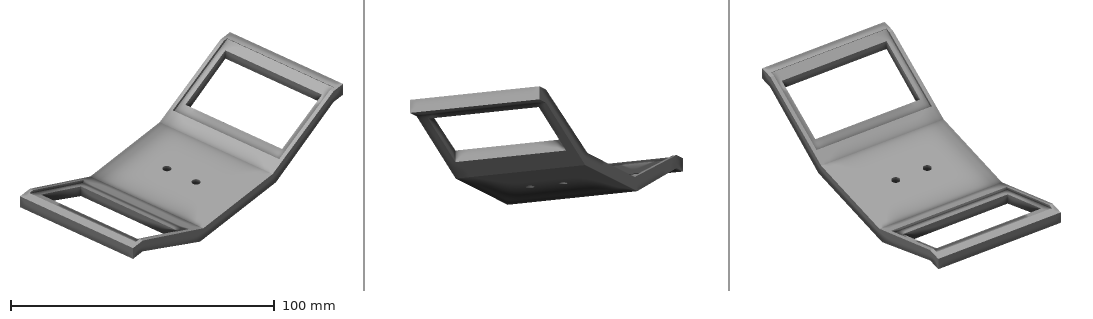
import cadquery as cq
import math

width = 54.0
length = 131.1
height = 21.8
thickness = 5.1
base_top_half = 21.6
base_bottom_half = 23.7
bend_y = 59.5

window_width = 46.1
window_inner_y = 32.6
window_outer_y = 57.5

seat_width = 50.9
seat_inner_y = 27.8
seat_outer_y = 61.4
seat_depth = 1.2
tool_height = 13.1

hole_diameter = 3.4
hole_spacing = 13.9

arm_angle = math.atan2(height - thickness, bend_y - base_top_half)


def make_plate():
    """Bent plate, its YZ profile extruded along X."""
    half_length = length / 2
    right_side = [
        (base_bottom_half, 0),
        (bend_y, height - thickness),
        (half_length, height - thickness),
        (half_length, height),
        (bend_y, height),
        (base_top_half, thickness),
    ]
    left_side = [(-y, z) for y, z in reversed(right_side)]
    return cq.Workplane("YZ").polyline(right_side + left_side).close().extrude(width / 2, both=True)


def make_window():
    """Vertical rectangular cutter through the arm on the +Y side."""
    window_length = window_outer_y - window_inner_y
    window_center_y = (window_inner_y + window_outer_y) / 2
    return (
        cq.Workplane("XY")
        .center(0, window_center_y)
        .rect(window_width, window_length)
        .extrude(height)
    )


def make_seat():
    """Tilted box cutter that sinks the seat into the arm on the +Y side."""
    edge_z = thickness + (seat_inner_y - base_top_half) * math.tan(arm_angle)
    seat_length = (seat_outer_y - seat_inner_y) / math.cos(arm_angle)
    return (
        cq.Workplane("XY")
        .box(seat_width, seat_length, seat_depth + tool_height, centered=(True, False, False))
        .translate((0, 0, -seat_depth))
        .rotate((0, 0, 0), (1, 0, 0), math.degrees(arm_angle))
        .translate((0, seat_inner_y, edge_z))
    )


result = make_plate()

arm_cutter = make_window().union(make_seat())
for cutter in (arm_cutter, arm_cutter.mirror("XZ")):
    result = result.cut(cutter)

holes = (
    cq.Workplane("XY")
    .pushPoints([(-hole_spacing / 2, 0), (hole_spacing / 2, 0)])
    .circle(hole_diameter / 2)
    .extrude(thickness)
)
result = result.cut(holes)